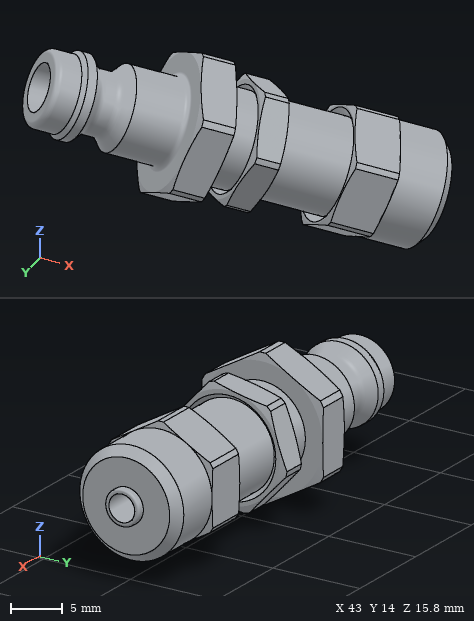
import cadquery as cq
import math

TOTAL_LENGTH = 43.0
COLLAR_START = 2.62
GROOVE_START = 4.1
GROOVE_END = 8.35
BODY_HEX_START = 14.05
BODY_HEX_LENGTH = 3.85
LOCKNUT_START = 21.0
LOCKNUT_LENGTH = 3.0
CAP_START = 31.2
CAP_HEX_LENGTH = 4.95
CAP_END = 42.23
BARREL_END = CAP_START + CAP_HEX_LENGTH

NOSE_DIAMETER = 8.1
NOSE_FILLET = 0.6
NIPPLE_DIAMETER = 9.0
GROOVE_DIAMETER = 6.65
GROOVE_FILLET = 1.0
BARREL_DIAMETER = 10.0
BODY_HEX_FLATS = 14.0
BODY_HEX_CORNERS = 15.8
STEM_DIAMETER = 3.95
STEM_FILLET = 0.25
INLET_DIAMETER = 5.0
INLET_DEPTH = BODY_HEX_START
PASSAGE_DIAMETER = 2.95
DRILL_POINT_ANGLE = 118.0

NUT_FLATS = 12.0
NUT_CORNERS = 13.5
LOCKNUT_ROTATION = 17.6
CAP_DIAMETER = NUT_FLATS
CAP_MOUTH_DIAMETER = 11.5
LOCKNUT_MOUTH_DIAMETER = 11.0
CAP_CHAMFER = (CAP_DIAMETER - BARREL_DIAMETER) / 2

HEX_SIDES = 6
CORNER_UP = 90.0
HEX_FRONT_ANGLE = 16.0
HEX_REAR_ANGLE = 9.0


def cylinder(start, end, diameter):
    """Solid cylinder on the X axis."""
    return cq.Workplane("YZ", origin=(start, 0, 0)).circle(diameter / 2).extrude(end - start)


def hexagon(start, length, flats, corners, rear_angle=HEX_REAR_ANGLE, rotation=0.0):
    """Hexagonal prism along X with turned corners and chamfered ends; unrotated corners point along Z."""
    prism = (
        cq.Workplane("YZ", origin=(start, 0, 0))
        .transformed(rotate=(0, 0, CORNER_UP + rotation))
        .polygon(HEX_SIDES, flats / math.cos(math.pi / HEX_SIDES))
        .extrude(length)
    )
    face_radius = flats / 2
    corner_radius = corners / 2
    front_chamfer = (corner_radius - face_radius) * math.tan(math.radians(HEX_FRONT_ANGLE))
    rear_chamfer = (corner_radius - face_radius) * math.tan(math.radians(rear_angle))
    end = start + length
    blank = (
        cq.Workplane("XY")
        .moveTo(start, 0)
        .lineTo(start, face_radius)
        .lineTo(start + front_chamfer, corner_radius)
        .lineTo(end - rear_chamfer, corner_radius)
        .lineTo(end, face_radius)
        .lineTo(end, 0)
        .close()
        .revolve(360, (0, 0, 0), (1, 0, 0))
    )
    return prism.intersect(blank)


def make_nipple():
    """Turned plug end: rounded nose, collar, locking groove and filleted root at the hexagon."""
    nose_radius = NOSE_DIAMETER / 2
    nipple_radius = NIPPLE_DIAMETER / 2
    groove_radius = GROOVE_DIAMETER / 2
    root_fillet = (BARREL_DIAMETER - NIPPLE_DIAMETER) / 2

    wall_angle = math.radians(45)
    arc_length = GROOVE_FILLET * math.sin(wall_angle)
    arc_rise = GROOVE_FILLET * (1 - math.cos(wall_angle))
    wall_length = nipple_radius - groove_radius - arc_rise
    wall_foot_left = GROOVE_START + wall_length
    wall_foot_right = GROOVE_END - wall_length
    floor_start = wall_foot_left + arc_length
    floor_end = wall_foot_right - arc_length
    foot_radius = groove_radius + arc_rise

    return (
        cq.Workplane("XY")
        .lineTo(0, nose_radius - NOSE_FILLET)
        .radiusArc((NOSE_FILLET, nose_radius), NOSE_FILLET)
        .lineTo(COLLAR_START, nose_radius)
        .lineTo(COLLAR_START + nipple_radius - nose_radius, nipple_radius)
        .lineTo(GROOVE_START, nipple_radius)
        .lineTo(wall_foot_left, foot_radius)
        .radiusArc((floor_start, groove_radius), -GROOVE_FILLET)
        .lineTo(floor_end, groove_radius)
        .radiusArc((wall_foot_right, foot_radius), -GROOVE_FILLET)
        .lineTo(GROOVE_END, nipple_radius)
        .lineTo(BODY_HEX_START - root_fillet, nipple_radius)
        .radiusArc((BODY_HEX_START, BARREL_DIAMETER / 2), -root_fillet)
        .lineTo(BODY_HEX_START, 0)
        .close()
        .revolve(360, (0, 0, 0), (1, 0, 0))
    )


def make_flow_passage():
    """Wide inlet bore with a conical bottom, continued by a narrow passage to the far end."""
    inlet_radius = INLET_DIAMETER / 2
    passage_radius = PASSAGE_DIAMETER / 2
    cone_length = (inlet_radius - passage_radius) / math.tan(math.radians(DRILL_POINT_ANGLE / 2))
    return (
        cq.Workplane("XY")
        .lineTo(0, inlet_radius)
        .lineTo(INLET_DEPTH, inlet_radius)
        .lineTo(INLET_DEPTH + cone_length, passage_radius)
        .lineTo(TOTAL_LENGTH, passage_radius)
        .lineTo(TOTAL_LENGTH, 0)
        .close()
        .revolve(360, (0, 0, 0), (1, 0, 0))
    )


def make_body():
    """Nipple, hexagon, barrel and hose stem in one piece, bored through."""
    wrench_hexagon = hexagon(BODY_HEX_START, BODY_HEX_LENGTH, BODY_HEX_FLATS, BODY_HEX_CORNERS)
    barrel = cylinder(BODY_HEX_START, BARREL_END, BARREL_DIAMETER)
    stem = cylinder(BARREL_END, TOTAL_LENGTH, STEM_DIAMETER).faces(">X").fillet(STEM_FILLET)
    solid_body = make_nipple().union(wrench_hexagon).union(barrel).union(stem)
    return solid_body.cut(make_flow_passage())


def countersink(face, mouth_diameter, direction):
    """Cone for a 45 degree countersink of a barrel bore; direction is the sense of X into the nut."""
    mouth_radius = mouth_diameter / 2
    return (
        cq.Workplane("XY")
        .moveTo(face, 0)
        .lineTo(face, mouth_radius)
        .lineTo(face + direction * mouth_radius, 0)
        .close()
        .revolve(360, (0, 0, 0), (1, 0, 0))
    )


def make_locknut():
    """Thin hexagon nut on the barrel, turned a little about the axis and countersunk at both faces."""
    end = LOCKNUT_START + LOCKNUT_LENGTH
    nut = hexagon(
        LOCKNUT_START,
        LOCKNUT_LENGTH,
        NUT_FLATS,
        NUT_CORNERS,
        rear_angle=HEX_FRONT_ANGLE,
        rotation=LOCKNUT_ROTATION,
    )
    nut = nut.cut(cylinder(LOCKNUT_START, end, BARREL_DIAMETER))
    for face, direction in ((LOCKNUT_START, 1), (end, -1)):
        nut = nut.cut(countersink(face, LOCKNUT_MOUTH_DIAMETER, direction))
    return nut


def make_cap():
    """Hexagon with a round chamfered end; holds the barrel end and lets the hose stem through."""
    wrench_hexagon = hexagon(CAP_START, CAP_HEX_LENGTH, NUT_FLATS, NUT_CORNERS)
    round_end = (
        cylinder(BARREL_END, CAP_END, CAP_DIAMETER)
        .faces(">X")
        .chamfer(CAP_CHAMFER)
    )
    barrel_bore = cylinder(CAP_START, BARREL_END, BARREL_DIAMETER)
    mouth = countersink(CAP_START, CAP_MOUTH_DIAMETER, 1)
    stem_hole = cylinder(BARREL_END, CAP_END, STEM_DIAMETER)
    return wrench_hexagon.union(round_end).cut(barrel_bore).cut(mouth).cut(stem_hole)


body = make_body()
locknut = make_locknut()
cap = make_cap()

result = cq.Compound.makeCompound([body.val(), locknut.val(), cap.val()])